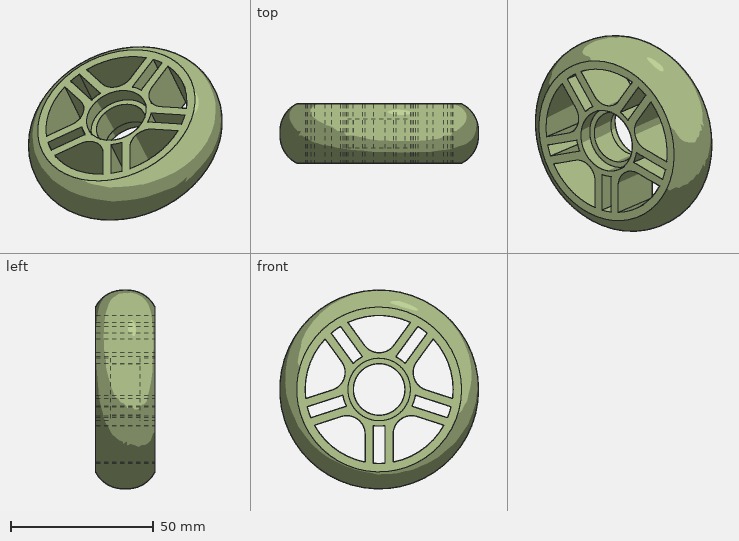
import cadquery as cq
import math

outer_radius = 35.0
width = 21.0
half_width = width / 2
face_radius = 29.0
tread_flat_width = 1.5

bore_radius = 9.0
bearing_radius = 11.0
bearing_depth = 5.4

spoke_count = 5
spoke_width = 9.95
slot_width = 4.0
opening_inner_radius = 12.95
opening_outer_radius = 26.0

spoke_pitch = 360 / spoke_count
first_spoke_angle = -90


def disc(radius, y_start, y_end):
    """Solid cylinder on the Y axis from y_start to y_end."""
    return cq.Workplane("XZ", origin=(0, y_end, 0)).circle(radius).extrude(y_end - y_start)


def wheel_blank():
    """Revolved wheel whose tread arcs leave the central band tangentially."""
    band = tread_flat_width / 2
    drop = outer_radius - face_radius
    reach = half_width - band
    tread_radius = (drop**2 + reach**2) / (2 * drop)
    arc_center = outer_radius - tread_radius
    half_angle = math.asin(reach / tread_radius) / 2
    mid_x = arc_center + tread_radius * math.cos(half_angle)
    mid_y = band + tread_radius * math.sin(half_angle)
    profile = (
        cq.Workplane("XY")
        .moveTo(0, -half_width)
        .lineTo(face_radius, -half_width)
        .threePointArc((mid_x, -mid_y), (outer_radius, -band))
        .lineTo(outer_radius, band)
        .threePointArc((mid_x, mid_y), (face_radius, half_width))
        .lineTo(0, half_width)
        .close()
    )
    return profile.revolve(360, (0, 0, 0), (0, 1, 0))


def spoke_slot():
    """Slot along +X with concentric round ends, cut through the wheel."""
    bar = cq.Workplane("XY").box(
        outer_radius, width, slot_width, centered=(False, True, True)
    )
    rim_limit = disc(opening_outer_radius, -half_width, half_width)
    hub_limit = disc(opening_inner_radius, -half_width, half_width)
    return bar.intersect(rim_limit).cut(hub_limit)


def window():
    """Opening centred on +X between two spokes, with one round at its inner end."""
    half_angle = math.radians(spoke_pitch / 2)
    apex = spoke_width / 2 / math.sin(half_angle)
    round_radius = (opening_inner_radius - apex) / (1 / math.sin(half_angle) - 1)
    round_center = opening_inner_radius + round_radius
    tangent_x = round_center - round_radius * math.sin(half_angle)
    tangent_z = round_radius * math.cos(half_angle)
    far_z = (outer_radius - apex) * math.tan(half_angle)
    wedge = (
        cq.Workplane("XZ", origin=(0, half_width, 0))
        .moveTo(tangent_x, -tangent_z)
        .lineTo(outer_radius, -far_z)
        .lineTo(outer_radius, far_z)
        .lineTo(tangent_x, tangent_z)
        .threePointArc((opening_inner_radius, 0), (tangent_x, -tangent_z))
        .close()
        .extrude(width)
    )
    return wedge.intersect(disc(opening_outer_radius, -half_width, half_width))


def turned(shape, angle):
    """Turn a shape about the wheel axis, from +X toward +Z."""
    return shape.rotate((0, 0, 0), (0, 1, 0), -angle)


result = wheel_blank()

result = result.cut(disc(bore_radius, -half_width, half_width))
result = result.cut(disc(bearing_radius, -half_width, bearing_depth - half_width))
result = result.cut(disc(bearing_radius, half_width - bearing_depth, half_width))

for index in range(spoke_count):
    spoke_angle = first_spoke_angle + index * spoke_pitch
    result = result.cut(turned(spoke_slot(), spoke_angle))
    result = result.cut(turned(window(), spoke_angle + spoke_pitch / 2))